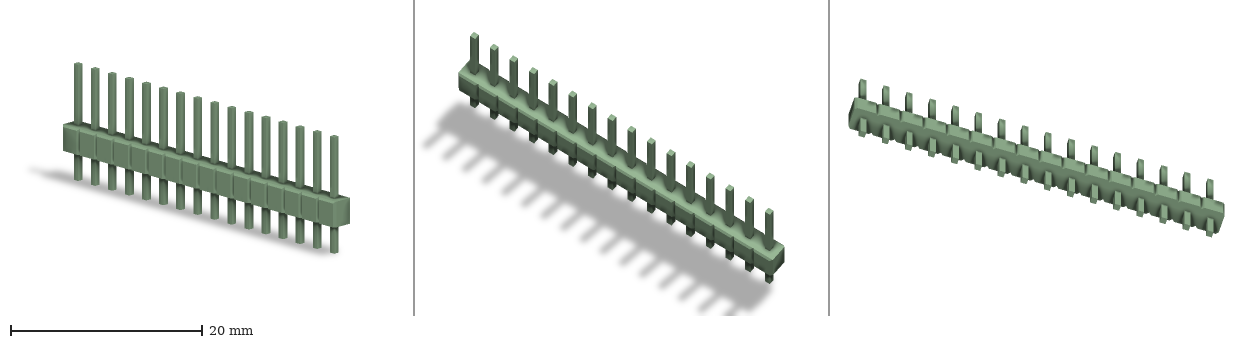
import cadquery as cq

pin_count = 16
length = 40.65
body_width = 2.5
body_height = 2.8
corner_bevel = 0.25
top_bevel = 0.2
pin_side = 0.65
pin_length = 12.7
pin_below = 3.2
pin_shift = -0.05

pitch = length / pin_count
cell_centres = [(i - (pin_count - 1) / 2) * pitch for i in range(pin_count)]


def make_cell():
    """One body cell with bevelled vertical corners, standing on Z = 0."""
    return (
        cq.Workplane("XY")
        .box(pitch, body_width, body_height, centered=(True, True, False))
        .edges("|Z")
        .chamfer(corner_bevel)
    )


def make_envelope():
    """Bar with the body's end profile: both long top edges are bevelled."""
    return (
        cq.Workplane("XY")
        .box(length, body_width, body_height, centered=(True, True, False))
        .edges("|X and >Z")
        .chamfer(top_bevel)
    )


def make_body():
    """Cells side by side, so neighbouring corner bevels form V notches."""
    cell = make_cell()
    row = cq.Workplane("XY")
    for x in cell_centres:
        row = row.union(cell.translate((x, 0, 0)))
    return row.intersect(make_envelope())


def make_pins():
    """Square pins, one running through every cell."""
    return (
        cq.Workplane("XY", origin=(pin_shift, 0, -pin_below))
        .pushPoints([(x, 0) for x in cell_centres])
        .rect(pin_side, pin_side)
        .extrude(pin_length)
    )


result = make_body().union(make_pins()).clean()